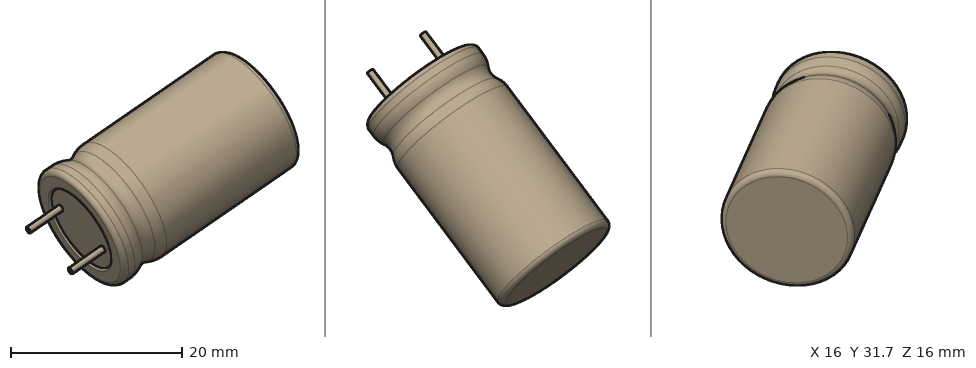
import cadquery as cq
import math

total_length = 31.7
lead_length = 4.7
can_length = total_length - lead_length
can_radius = 16.0 / 2
corner_radius = 0.7

groove_center = 4.05
groove_half_width = 2.4
floor_radius = 2.0
shoulder_radius = 3.0

recess_radius = 5.48
rim_radius = 0.3
recess_depth = rim_radius

lead_diameter = 0.85
lead_spacing = 7.65


def shoulder_point(angle, center_y):
    """Point (radius, Y) on a groove shoulder arc, at an angle from the radial direction."""
    return (
        can_radius - shoulder_radius + shoulder_radius * math.cos(angle),
        center_y + shoulder_radius * math.sin(angle),
    )


def make_can():
    """Revolve the can outline, with its recess and crimp groove, about the Y axis."""
    blend_angle = math.asin(groove_half_width / (floor_radius + shoulder_radius))
    groove_depth = (floor_radius + shoulder_radius) * (1 - math.cos(blend_angle))
    groove_start = groove_center - groove_half_width
    groove_end = groove_center + groove_half_width

    rim_setback = rim_radius * math.sin(math.pi / 4)
    rim_drop = rim_radius * (1 - math.cos(math.pi / 4))
    rim_outer_radius = recess_radius + rim_radius

    outline = (
        cq.Workplane("XY")
        .moveTo(0, recess_depth)
        .lineTo(recess_radius, recess_depth)
        .threePointArc((rim_outer_radius - rim_setback, rim_drop), (rim_outer_radius, 0))
        .lineTo(can_radius, 0)
        .lineTo(can_radius, groove_start)
        .threePointArc(
            shoulder_point(blend_angle / 2, groove_start),
            shoulder_point(blend_angle, groove_start),
        )
        .threePointArc(
            (can_radius - groove_depth, groove_center),
            shoulder_point(-blend_angle, groove_end),
        )
        .threePointArc(
            shoulder_point(-blend_angle / 2, groove_end),
            (can_radius, groove_end),
        )
        .lineTo(can_radius, can_length)
        .lineTo(0, can_length)
        .close()
    )
    return outline.revolve(360, (0, 0, 0), (0, 1, 0))


def round_outer_corners(can):
    """Round the outer edge of both can ends."""
    outermost = cq.selectors.RadiusNthSelector(-1)
    for end in ("<Y", ">Y"):
        can = can.faces(end).edges(outermost).fillet(corner_radius)
    return can


def add_leads(can):
    """Add the two wire leads, rooted in the recess floor."""
    leads = (
        cq.Workplane("XZ", origin=(0, recess_depth, 0))
        .pushPoints([(-lead_spacing / 2, 0), (lead_spacing / 2, 0)])
        .circle(lead_diameter / 2)
        .extrude(lead_length + recess_depth)
    )
    return can.union(leads)


result = add_leads(round_outer_corners(make_can()))